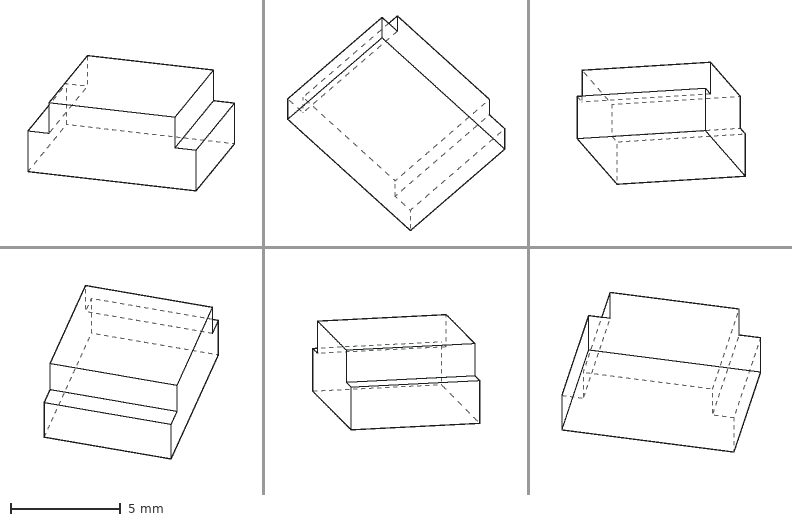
import cadquery as cq

base_length = 8.0
depth = 6.0
total_height = 3.5
base_height = 2.0
ledge_width = 1.0

block_length = base_length - 2 * ledge_width
block_height = total_height - base_height

base = cq.Workplane("XY").box(base_length, depth, base_height, centered=(True, True, False))

result = (
    base.faces(">Z")
    .workplane()
    .rect(block_length, depth)
    .extrude(block_height)
    .clean()
)